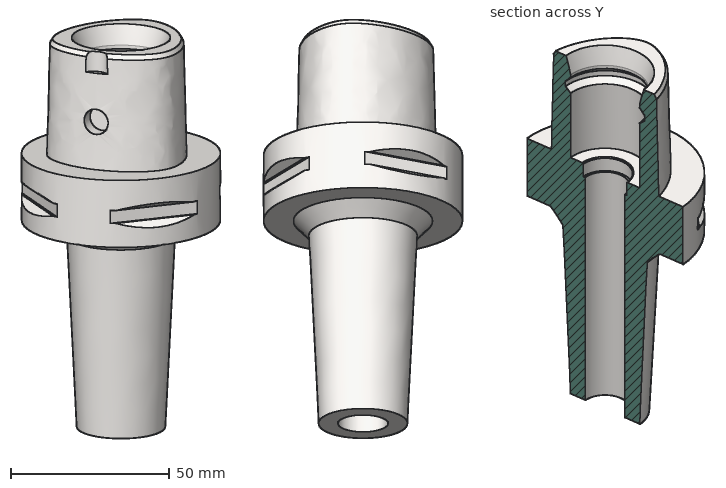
import cadquery as cq
import math

total_length = 128.0
taper_length = 38.0
flange_thickness = 22.0
neck_height = 5.0
flange_top = total_length - taper_length
flange_bottom = flange_top - flange_thickness
neck_bottom = flange_bottom - neck_height

flange_radius = 31.5
neck_top_radius = 22.0
shank_top_radius = 17.2
nose_radius = 14.1

polygon_radius = 22.1
lobe_height = 1.4
taper_slope = 0.025
rim_chamfer_height = 1.5
rim_chamfer_width = 0.9
polygon_samples = 72

mouth_radius = 15.6
lip_radius = 13.8
mouth_depth = 6.4
lip_depth = 7.7
groove_radius = 15.9
groove_top_depth = 9.9
groove_bottom_depth = 11.8
groove_runout_depth = 13.6
socket_depth = taper_length

seat_radius = 8.7
seat_depth = 5.1
seat_chamfer = 0.4
bore_radius = 8.0

notch_radius = 4.6
notch_floor_y = -17.8
notch_depth = 6.5
pocket_radius = 4.1
pocket_rim_distance = 22.4
pocket_floor_y = -15.4

gripper_count = 4
gripper_start_angle = 45.0
gripper_floor_distance = 27.8
gripper_ledge_distance = 28.5
gripper_floor_height = 4.2
gripper_mouth_height = 8.0
gripper_rim_distance = 50.0


def polygon_point(mean_radius, angle):
    """Point of the three-lobed outline whose normal points along angle; one lobe faces +Y."""
    lobe_angle = 3 * (angle - math.pi / 2)
    reach = mean_radius + lobe_height * math.cos(lobe_angle)
    reach_change = -3 * lobe_height * math.sin(lobe_angle)
    x = reach * math.cos(angle) - reach_change * math.sin(angle)
    y = reach * math.sin(angle) + reach_change * math.cos(angle)
    return x, y


def polygon_wire(mean_radius, z):
    """Closed three-lobed outline at height z, starting at its flattest point on the -Y side."""
    angles = [2 * math.pi * i / polygon_samples - math.pi / 2 for i in range(polygon_samples)]
    points = [cq.Vector(*polygon_point(mean_radius, angle), z) for angle in angles]
    return cq.Wire.assembleEdges([cq.Edge.makeSpline(points, periodic=True)])


def make_polygon_taper():
    """Tapered polygon shank with a chamfered rim."""
    chamfer_start = total_length - rim_chamfer_height
    chamfer_radius = polygon_radius - taper_slope * (chamfer_start - flange_top)
    base = polygon_wire(polygon_radius, flange_top)
    shoulder = polygon_wire(chamfer_radius, chamfer_start)
    rim = polygon_wire(chamfer_radius - rim_chamfer_width, total_length)
    taper = cq.Solid.makeLoft([base, shoulder], True)
    chamfer = cq.Solid.makeLoft([shoulder, rim], True)
    return cq.Workplane(taper).union(cq.Workplane(chamfer))


def revolve_profile(profile):
    """Solid of revolution about Z from (radius, height) points."""
    return cq.Workplane("YZ").polyline(profile).close().revolve(360, (0, 0), (0, 1))


def make_turned_body():
    """Flange, conical neck and slender tapered nose."""
    profile = [
        (0, 0),
        (nose_radius, 0),
        (shank_top_radius, neck_bottom),
        (neck_top_radius, flange_bottom),
        (flange_radius, flange_bottom),
        (flange_radius, flange_top),
        (0, flange_top),
    ]
    return revolve_profile(profile)


def make_bore():
    """Stepped opening running through the whole part."""
    socket_floor = total_length - socket_depth
    seat_floor = socket_floor - seat_depth
    profile = [
        (0, 0),
        (bore_radius, 0),
        (bore_radius, seat_floor),
        (seat_radius, seat_floor),
        (seat_radius, socket_floor - seat_chamfer),
        (seat_radius + seat_chamfer, socket_floor),
        (lip_radius, socket_floor),
        (lip_radius, total_length - groove_runout_depth),
        (groove_radius, total_length - groove_bottom_depth),
        (groove_radius, total_length - groove_top_depth),
        (lip_radius, total_length - lip_depth),
        (lip_radius, total_length - mouth_depth),
        (mouth_radius, total_length),
        (0, total_length),
    ]
    return revolve_profile(profile)


def make_notch():
    """Scooped orientation notch open at the rim."""
    return (
        cq.Workplane("XY", origin=(0, notch_floor_y - notch_radius, total_length - notch_depth))
        .circle(notch_radius)
        .extrude(notch_depth)
    )


def make_pocket():
    """Blind round pocket entering from the -Y side."""
    return (
        cq.Workplane("XZ", origin=(0, pocket_floor_y, total_length - pocket_rim_distance))
        .circle(pocket_radius)
        .extrude(flange_radius + pocket_floor_y)
    )


def make_gripper_groove(angle):
    """Straight groove facing the given direction: a shallow flat slot below flared sides."""
    half_floor = gripper_floor_height / 2
    half_mouth = gripper_mouth_height / 2
    profile = [
        (gripper_floor_distance, -half_floor),
        (gripper_ledge_distance, -half_floor),
        (flange_radius, -half_mouth),
        (flange_radius, half_mouth),
        (gripper_ledge_distance, half_floor),
        (gripper_floor_distance, half_floor),
    ]
    return (
        cq.Workplane("XZ", origin=(0, 0, total_length - gripper_rim_distance))
        .polyline(profile)
        .close()
        .extrude(flange_radius, both=True)
        .rotate((0, 0, 0), (0, 0, 1), angle)
    )


result = make_turned_body().union(make_polygon_taper())
result = result.cut(make_bore()).cut(make_notch()).cut(make_pocket())
for i in range(gripper_count):
    result = result.cut(make_gripper_groove(gripper_start_angle + i * 360 / gripper_count))